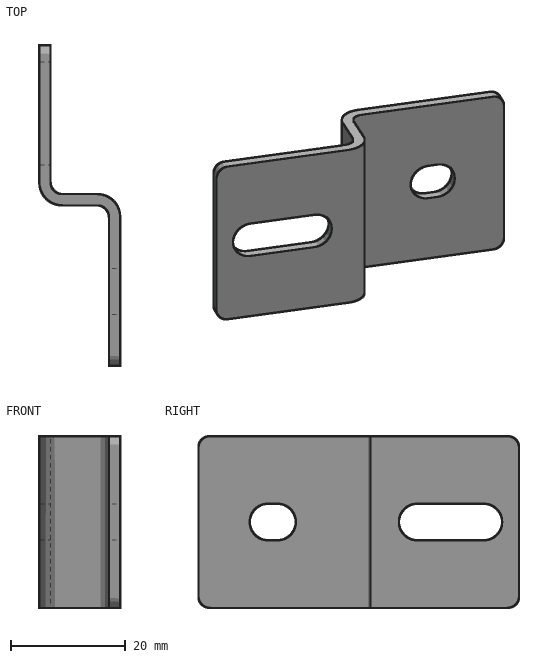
import cadquery as cq

depth = 14.15
length = 56.0
height = 30.0

thickness = 2.0
inner_radius = 2.0
outer_radius = inner_radius + thickness
corner_radius = 2.0

slot_width = 6.3
long_slot_length = 18.0
long_slot_from_end = 12.0
short_slot_length = 8.0
short_slot_from_end = 13.0

half_depth = depth / 2
half_length = length / 2
web_front = 0.0
web_back = web_front + thickness


def bent_strip():
    """Flange at -X towards +Y, web along X, flange at +X towards -Y."""
    section = (
        cq.Workplane("XY")
        .moveTo(-half_depth, half_length)
        .lineTo(-half_depth, web_front + outer_radius)
        .radiusArc((-half_depth + outer_radius, web_front), -outer_radius)
        .lineTo(half_depth - outer_radius, web_front)
        .radiusArc((half_depth - thickness, web_front - inner_radius), inner_radius)
        .lineTo(half_depth - thickness, -half_length)
        .lineTo(half_depth, -half_length)
        .lineTo(half_depth, web_back - outer_radius)
        .radiusArc((half_depth - outer_radius, web_back), -outer_radius)
        .lineTo(-half_depth + outer_radius, web_back)
        .radiusArc((-half_depth + thickness, web_back + inner_radius), inner_radius)
        .lineTo(-half_depth + thickness, half_length)
        .close()
    )
    return section.extrude(height / 2, both=True)


def slot_cutter(flange_start_x, center_y, slot_length):
    """Round-ended slot along Y, passing through one flange."""
    return (
        cq.Workplane("YZ", origin=(flange_start_x, center_y, 0))
        .slot2D(slot_length, slot_width)
        .extrude(thickness)
    )


bracket = bent_strip()

for end_face in (">Y", "<Y"):
    bracket = bracket.faces(end_face).edges("|X").fillet(corner_radius)

long_slot = slot_cutter(-half_depth, half_length - long_slot_from_end, long_slot_length)
short_slot = slot_cutter(
    half_depth - thickness, -half_length + short_slot_from_end, short_slot_length
)

result = bracket.cut(long_slot).cut(short_slot)